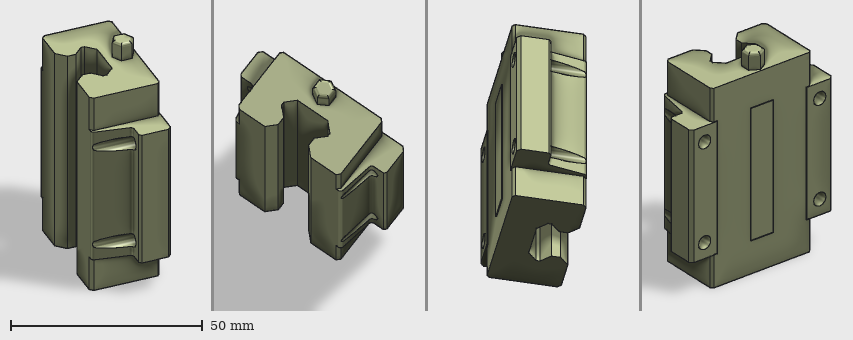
import cadquery as cq
import math

total_length = 64.5
body_length = 59.5
flange_length = 39.5
width = 47.0
depth = 20.0
cap_length = (body_length - flange_length) / 2

flange_thickness = 9.1
mount_edge_chamfer = 0.95
flange_edge_chamfer = 0.65
wall_top_half_width = 19.0
wall_angle = 10.0
wall_fillet = 1.0

cap_width = 32.9
cap_setback = 0.25
cap_mount_chamfer = 0.7
cap_open_chamfer = 0.9

land_half_width = 3.7
relief_outer = 14.7

channel_ceiling = 9.0
channel_narrow = 4.9
channel_bevel = 2.5
channel_wide = channel_narrow + channel_bevel
channel_groove_height = 1.0

hole_diameter = 4.0
hole_spacing_x = 38.0
hole_spacing_z = 30.0

plug_flats = 5.3
plug_inset = 3.9
plug_fillet = 1.0


def mirrored_prism(half_points, length, start_z):
    """Extrude a right-hand half outline together with its mirror image about X = 0."""
    left_points = [(-x, y) for x, y in reversed(half_points)]
    outline = cq.Workplane("XY").workplane(offset=start_z).polyline(half_points + left_points)
    return outline.close().extrude(length)


def make_flanged_block():
    half = width / 2
    wall_run = (depth - flange_thickness) * math.tan(math.radians(wall_angle))
    wall_bottom_half_width = wall_top_half_width - wall_run
    block = mirrored_prism(
        [
            (half - mount_edge_chamfer, 0),
            (half, -mount_edge_chamfer),
            (half, -flange_thickness + flange_edge_chamfer),
            (half - flange_edge_chamfer, -flange_thickness),
            (wall_top_half_width, -flange_thickness),
            (wall_bottom_half_width, -depth),
        ],
        flange_length,
        cap_length,
    )
    middle_z = body_length / 2
    for side in (-1, 1):
        for x, y in ((wall_top_half_width, -flange_thickness), (wall_bottom_half_width, -depth)):
            corner = cq.selectors.NearestToPointSelector((side * x, y, middle_z))
            block = block.edges("|Z").edges(corner).fillet(wall_fillet)
    return block


def make_cap_core():
    """Full-length core whose two exposed ends form the end caps."""
    half = cap_width / 2
    return mirrored_prism(
        [
            (half - cap_mount_chamfer, -cap_setback),
            (half, -cap_setback - cap_mount_chamfer),
            (half, -depth + cap_open_chamfer),
            (half - cap_open_chamfer, -depth),
        ],
        body_length,
        0,
    )


def make_channel():
    groove_top = -channel_ceiling - channel_bevel
    groove_bottom = groove_top - channel_groove_height
    return mirrored_prism(
        [
            (channel_narrow, -channel_ceiling),
            (channel_wide, groove_top),
            (channel_wide, groove_bottom),
            (channel_narrow, groove_bottom - channel_bevel),
            (channel_narrow, -depth + channel_bevel),
            (channel_wide, -depth),
        ],
        body_length,
        0,
    )


def make_reliefs():
    relief_width = relief_outer - land_half_width
    relief_center = (relief_outer + land_half_width) / 2
    return (
        cq.Workplane("XY")
        .pushPoints([(-relief_center, 0), (relief_center, 0)])
        .rect(relief_width, 2 * cap_setback)
        .extrude(body_length)
    )


def make_holes():
    return (
        cq.Workplane("XZ")
        .center(0, body_length / 2)
        .rect(hole_spacing_x, hole_spacing_z, forConstruction=True)
        .vertices()
        .circle(hole_diameter / 2)
        .extrude(depth)
    )


def make_plug():
    across_corners = plug_flats / math.cos(math.pi / 6)
    return (
        cq.Workplane("XY")
        .polygon(6, across_corners)
        .extrude(total_length - body_length)
        .faces(">Z")
        .edges()
        .fillet(plug_fillet)
        .rotate((0, 0, 0), (0, 0, 1), 30)
        .translate((0, -plug_inset, body_length))
    )


body = make_flanged_block().union(make_cap_core())
body = body.cut(make_channel()).cut(make_reliefs()).cut(make_holes())
result = body.union(make_plug())